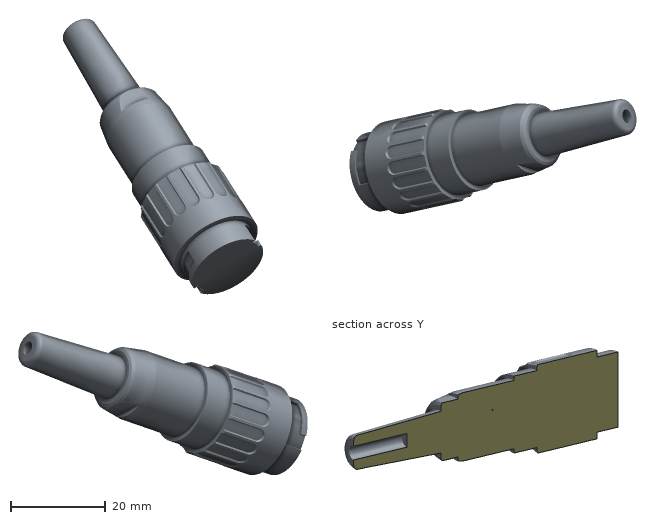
import cadquery as cq
import math

total_length = 69.4

sleeve_tip_dia = 7.7
sleeve_root_dia = 9.5
sleeve_tip_fillet = 1.1
cable_hole_dia = 3.0
cable_hole_depth = 13.9

nut_start = 22.8
nut_face_dia = 11.8
nut_bevel_dia = 13.0
nut_bevel_length = 0.3
nut_cone_start = 23.75
nut_cone_dia = 13.9
nut_cone_end = 28.7
wrench_flat_end = 27.3
across_flats = 13.1

body_dia = 15.5
collar_start = 41.9
collar_dia = 17.4
grip_start = 47.95
grip_dia = 20.0
grip_end = 63.85
plug_dia = 17.0
plug_end = 69.25

flute_count = 18
flute_rim_width = 2.9
flute_floor_width = 2.4
flute_end = 58.0
flute_depth = 0.35
rib_bevel_length = 0.35
rib_bevel_depth = 0.3

slot_count = 2
slot_start = 64.7
slot_catch_end = 67.8
slot_floor_dia = 15.75
catch_angle = 33.7
tooth_angle = -19.5
mouth_angle = -40.8
ridge_angle = 6.7
ridge_radius = 2.4
ridge_dia = 16.0

tab_inner_dia = 15.0


def ring_point(radius, angle):
    """Point in the YZ plane, at an angle measured from -Y towards +Z."""
    turn = math.radians(angle)
    return (-radius * math.cos(turn), radius * math.sin(turn))


def ring_sector(x_start, x_end, inner_radius, outer_radius, low_angle, high_angle):
    """Annular sector extruded along X."""
    middle_angle = (low_angle + high_angle) / 2
    return (
        cq.Workplane("YZ", origin=(x_start, 0, 0))
        .moveTo(*ring_point(inner_radius, low_angle))
        .lineTo(*ring_point(outer_radius, low_angle))
        .threePointArc(ring_point(outer_radius, middle_angle), ring_point(outer_radius, high_angle))
        .lineTo(*ring_point(inner_radius, high_angle))
        .threePointArc(ring_point(inner_radius, middle_angle), ring_point(inner_radius, low_angle))
        .close()
        .extrude(x_end - x_start)
    )


def around_axis(shape, angle):
    """Copy of a shape turned about the part's axis, in degrees."""
    return shape.rotate((0, 0, 0), (1, 0, 0), angle)


def make_turned_body():
    sleeve = (
        cq.Workplane("XY")
        .polyline([
            (0, 0),
            (0, sleeve_tip_dia / 2),
            (nut_start, sleeve_root_dia / 2),
            (nut_start, 0),
        ])
        .close()
        .revolve(360, (0, 0, 0), (1, 0, 0))
        .faces("<X")
        .edges()
        .fillet(sleeve_tip_fillet)
    )
    shell = (
        cq.Workplane("XY")
        .polyline([
            (nut_start, 0),
            (nut_start, nut_face_dia / 2),
            (nut_start + nut_bevel_length, nut_bevel_dia / 2),
            (nut_cone_start, nut_cone_dia / 2),
            (nut_cone_end, body_dia / 2),
            (collar_start, body_dia / 2),
            (collar_start, collar_dia / 2),
            (grip_start, collar_dia / 2),
            (grip_start, grip_dia / 2 - rib_bevel_depth),
            (grip_start + rib_bevel_length, grip_dia / 2),
            (grip_end, grip_dia / 2),
            (grip_end, plug_dia / 2),
            (plug_end, plug_dia / 2),
            (plug_end, 0),
        ])
        .close()
        .revolve(360, (0, 0, 0), (1, 0, 0))
    )
    return sleeve.union(shell)


def cut_cable_hole(body):
    hole = cq.Workplane("YZ").circle(cable_hole_dia / 2).extrude(cable_hole_depth)
    return body.cut(hole)


def cut_wrench_flats(body):
    flat_length = wrench_flat_end - nut_start
    block_height = body_dia - across_flats
    block_offset = (across_flats + block_height) / 2
    for side in (1, -1):
        block = cq.Workplane("XY").box(flat_length, body_dia, block_height).translate(
            (nut_start + flat_length / 2, 0, side * block_offset)
        )
        body = body.cut(block)
    return body


def make_flute():
    """Round-ended groove with sloping walls on the -Y side, open at the front face of the grip ring."""
    floor_radius = grip_dia / 2 - flute_depth
    floor_half_width = flute_floor_width / 2
    rim_half_width = flute_rim_width / 2
    floor_height = math.sqrt(floor_radius**2 - floor_half_width**2)
    rim_height = math.sqrt((grip_dia / 2) ** 2 - rim_half_width**2)
    wall_slope = math.degrees(math.atan2(rim_half_width - floor_half_width, rim_height - floor_height))

    open_end = grip_start - flute_rim_width
    round_centre = flute_end - rim_half_width
    groove = (
        cq.Workplane("XZ", origin=(0, -floor_height, 0))
        .moveTo(open_end, -floor_half_width)
        .lineTo(round_centre, -floor_half_width)
        .threePointArc((round_centre + floor_half_width, 0), (round_centre, floor_half_width))
        .lineTo(open_end, floor_half_width)
        .close()
        .extrude(2 * flute_depth, taper=-wall_slope)
    )
    core = cq.Workplane("YZ").circle(floor_radius).extrude(total_length)
    return groove.cut(core)


def cut_flutes(body):
    flute = make_flute()
    for index in range(flute_count):
        body = body.cut(around_axis(flute, index * 360 / flute_count))
    return body


def make_bayonet_slot():
    """L-shaped slot with a detent ridge on the floor of its catch."""
    floor_radius = slot_floor_dia / 2
    outer_radius = grip_dia / 2
    catch = ring_sector(slot_start, slot_catch_end, floor_radius, outer_radius, mouth_angle, catch_angle)
    mouth = ring_sector(slot_start, plug_end, floor_radius, outer_radius, mouth_angle, tooth_angle)
    ridge_centre = ring_point(ridge_dia / 2 - ridge_radius, ridge_angle)
    ridge = (
        cq.Workplane("YZ", origin=(slot_start, 0, 0))
        .center(*ridge_centre)
        .circle(ridge_radius)
        .extrude(slot_catch_end - slot_start)
    )
    return catch.union(mouth).cut(ridge)


def cut_bayonet_slots(body):
    slot = make_bayonet_slot()
    for index in range(slot_count):
        body = body.cut(around_axis(slot, index * 360 / slot_count))
    return body


def add_key_tab(body):
    tab = ring_sector(
        slot_start, total_length, tab_inner_dia / 2, slot_floor_dia / 2, mouth_angle, tooth_angle
    )
    return body.union(tab)


result = make_turned_body()
result = cut_cable_hole(result)
result = cut_wrench_flats(result)
result = cut_flutes(result)
result = cut_bayonet_slots(result)
result = add_key_tab(result)